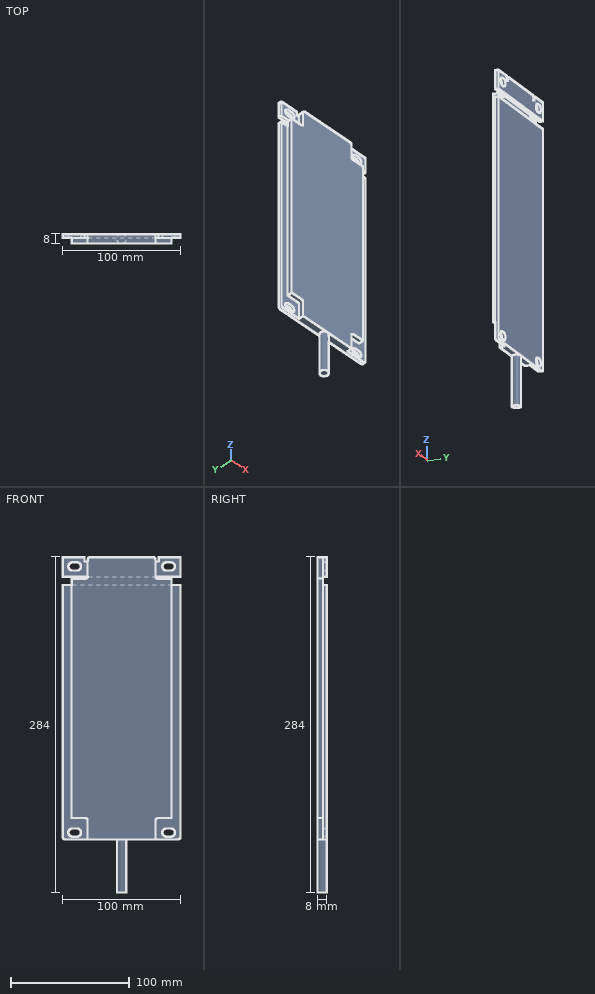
import cadquery as cq

total_height = 284.0
plate_width = 100.0
plate_height = 239.0
total_thickness = 8.0
plate_thickness = 3.0
cable_diameter = total_thickness
plate_corner_radius = 2.5

housing_width = 84.5
core_width = 57.5
housing_end_step = 18.2
housing_radius = 2.0

tab_height = 16.8
rail_top_drop = 23.5
notch_width = 2.5
notch_depth = 3.7

slot_length = 10.5
slot_height = 6.8
slot_spacing = 79.5
upper_slot_drop = 8.0
lower_slot_rise = 6.0

plate_bottom = total_height - plate_height
plate_top = total_height
plate_front = total_thickness - plate_thickness


def block(x_min, x_max, y_min, y_max, z_min, z_max):
    """Box given by its limits along each axis."""
    size = (x_max - x_min, y_max - y_min, z_max - z_min)
    return cq.Workplane("XY").box(*size, centered=False).translate((x_min, y_min, z_min))


def centred_block(width, y_min, y_max, z_min, z_max):
    """Box centred on x = 0."""
    return block(-width / 2, width / 2, y_min, y_max, z_min, z_max)


def make_housing():
    """Cross-shaped housing with rounded inner corners and rounded top corners."""
    body = centred_block(
        housing_width, 0, plate_front,
        plate_bottom + housing_end_step, plate_top - housing_end_step,
    )
    core = centred_block(core_width, 0, plate_front, plate_bottom, plate_top)
    inner_corners = cq.selectors.BoxSelector(
        (-core_width / 2 - housing_radius, -total_thickness, plate_bottom + housing_radius),
        (core_width / 2 + housing_radius, 2 * total_thickness, plate_top - housing_radius),
    )
    housing = body.union(core).edges("|Y").edges(inner_corners).fillet(housing_radius)
    return housing.faces(">Z").edges("|Y").fillet(housing_radius)


def make_plate():
    """Back plate with rounded lower corners and a gap and notches around the upper tabs."""
    plate = centred_block(plate_width, plate_front, total_thickness, plate_bottom, plate_top)
    plate = plate.faces("<Z").edges("|Y").fillet(plate_corner_radius)
    core_edge = core_width / 2
    gap = centred_block(
        plate_width, plate_front, total_thickness,
        plate_top - rail_top_drop, plate_top - tab_height,
    )
    notch = block(
        core_edge - housing_radius, core_edge + notch_width, plate_front, total_thickness,
        plate_top - notch_depth, plate_top,
    )
    plate = plate.cut(gap).cut(notch).cut(notch.mirror("YZ"))
    top_middle = centred_block(
        core_width, plate_front, total_thickness, plate_top - notch_depth, plate_top
    )
    return plate.union(top_middle.faces(">Z").edges("|Y").fillet(housing_radius))


def make_slots():
    """Four round-ended mounting slots through the plate."""
    half_spacing = slot_spacing / 2
    upper_z = plate_top - upper_slot_drop
    lower_z = plate_bottom + lower_slot_rise
    centres = [(x, z) for x in (-half_spacing, half_spacing) for z in (lower_z, upper_z)]
    slots = cq.Workplane("XZ").pushPoints(centres).slot2D(slot_length, slot_height)
    return slots.extrude(-total_thickness)


def make_cable():
    """Round cable leaving the middle of the lower edge."""
    radius = cable_diameter / 2
    return cq.Workplane("XY").center(0, total_thickness / 2).circle(radius).extrude(plate_bottom)


result = make_plate().cut(make_slots()).union(make_housing()).union(make_cable())